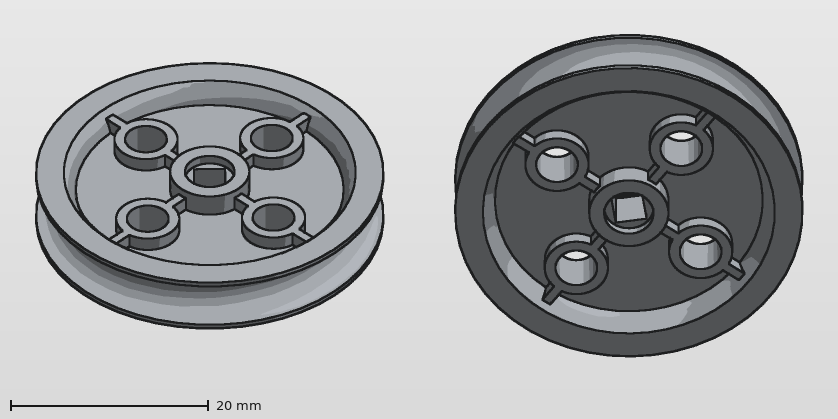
import cadquery as cq
import math

rim_radius = 17.55
rim_width = 6.0
groove_radius = 2.5

web_thickness = 1.6
wall_thickness = 1.6
wall_radius = groove_radius + wall_thickness

hub_radius = 4.0
hub_width = 6.35
counterbore_radius = 2.5
counterbore_depth = 1.0
square_side = 3.15

hole_count = 4
hole_circle_radius = 9.0
hole_radius = 2.1
ring_radius = 3.2
rib_thickness = 1.0
rib_overlap = 0.35
rib_width = 4.55


def arc_distance(radius, height):
    """Distance from the axis, at a given height, of an arc centred on the rim edge."""
    return rim_radius - math.sqrt(radius**2 - height**2)


def cylinder(radius, width):
    """Cylinder on the Z axis, centred on the mid-plane."""
    return cq.Workplane("XY").circle(radius).extrude(width / 2, both=True)


def make_wheel():
    """Web, curved wall and grooved rim in one revolved profile."""
    half_web = web_thickness / 2
    half_rim = rim_width / 2
    mid_height = (half_web + half_rim) / 2
    web_edge = arc_distance(wall_radius, half_web)
    wall_middle = arc_distance(wall_radius, mid_height)
    rim_edge = arc_distance(wall_radius, half_rim)
    groove_bottom = rim_radius - groove_radius
    profile = (
        cq.Workplane("XZ")
        .moveTo(0, -half_web)
        .lineTo(0, half_web)
        .lineTo(web_edge, half_web)
        .threePointArc((wall_middle, mid_height), (rim_edge, half_rim))
        .lineTo(rim_radius, half_rim)
        .lineTo(rim_radius, groove_radius)
        .threePointArc((groove_bottom, 0), (rim_radius, -groove_radius))
        .lineTo(rim_radius, -half_rim)
        .lineTo(rim_edge, -half_rim)
        .threePointArc((wall_middle, -mid_height), (web_edge, -half_web))
        .close()
    )
    return profile.revolve(360, (0, 0, 0), (0, 1, 0))


def make_ribs():
    """Crossed ribs that end inside the curved wall."""
    rib_reach = arc_distance(wall_radius, rib_width / 2)
    rib_length = 2 * (rib_reach + rib_overlap)
    rib = cq.Workplane("XY").box(rib_length, rib_thickness, rib_width)
    return rib.union(rib.rotate((0, 0, 0), (0, 0, 1), 90))


def on_hole_circle(radius, width):
    """Cylinders of one size at every hole position."""
    return (
        cq.Workplane("XY")
        .polarArray(hole_circle_radius, 0, 360, hole_count)
        .circle(radius)
        .extrude(width / 2, both=True)
    )


def make_counterbores():
    """Shallow round recesses in both hub faces."""
    upper = (
        cq.Workplane("XY")
        .workplane(offset=hub_width / 2 - counterbore_depth)
        .circle(counterbore_radius)
        .extrude(counterbore_depth)
    )
    return upper.union(upper.mirror("XY"))


def make_square_bore():
    """Square axle bore with its corners on the X and Y axes."""
    bore = cq.Workplane("XY").box(square_side, square_side, hub_width)
    return bore.rotate((0, 0, 0), (0, 0, 1), 45)


result = (
    make_wheel()
    .union(make_ribs())
    .union(on_hole_circle(ring_radius, rib_width))
    .union(cylinder(hub_radius, hub_width))
    .cut(on_hole_circle(hole_radius, rib_width))
    .cut(make_counterbores())
    .cut(make_square_bore())
)